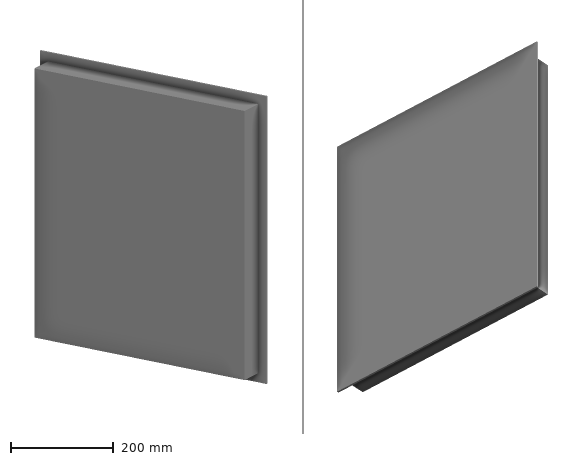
import cadquery as cq

plate_width = 520.0
plate_height = 590.0
total_depth = 53.5

plate_thickness = 4.0
plate_overhang = 19.0

box_width = plate_width - 2 * plate_overhang
box_height = plate_height - 2 * plate_overhang
box_depth = total_depth - plate_thickness


def make_box():
    """Plain rectangular box in front of the plate, with its back face on Y = 0."""
    return cq.Workplane("XZ").rect(box_width, box_height).extrude(box_depth)


def make_plate():
    """Thin rectangular plate that covers the back of the box."""
    return cq.Workplane("XZ").rect(plate_width, plate_height).extrude(-plate_thickness)


box = make_box()
plate = make_plate()

result = cq.Compound.makeCompound([box.val(), plate.val()])